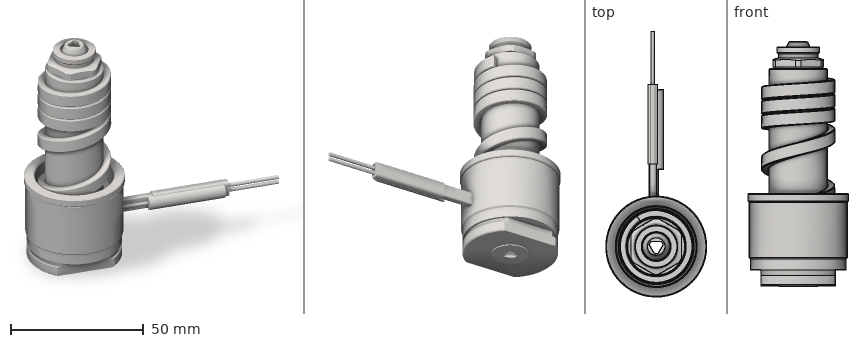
import cadquery as cq
import math

TIP_Z = 92.2
FLANGE_TOP_Z = 90.2
BODY_TOP_Z = 82.0
CUP_TOP_Z = 35.0
CUP_RING_Z = 32.0
BARREL_BOTTOM_Z = 10.4
BASE_TOP_Z = 6.3
BASE_GROOVE_Z = 4.2
BASE_BOTTOM_Z = 0.35

BASE_R = 18.0
BASE_GROOVE_R = 17.1
BASE_CHAMFER = 0.4
BASE_FLAT_HALF_WIDTH = 14.0
BASE_BOSS_R = 7.2

CUP_RING_R = 19.0
BARREL_R = 18.5
CUP_GROOVE_R = 18.3
CUP_GROOVE_WIDTH = 0.4
CUP_BORE_R = 15.0
CUP_BORE_CHAMFER = 0.4
CUP_FLOOR_CHAMFER = 0.7
CUP_EDGE_CHAMFER = 0.3

BODY_R = 11.0
BODY_CHAMFER = 0.3
COLLAR_R = 9.2
HEX_FLATS = 19.0
HEX_CORNER_R = 10.45
HEX_BOTTOM_Z = 82.6
HEX_TOP_Z = 86.0
HEX_CONE_R = 7.7
HEX_CONE_SLOPE = 0.3
NECK_R = 7.45
FLANGE_R = 8.05
FLANGE_CHAMFER = 0.25
FLANGE_BOTTOM_Z = 87.9
NECK_LINE_Z = 87.5
RECESS_R = 5.3
RECESS_CHAMFER = 0.3
RECESS_FLOOR_Z = 88.6
TIP_R = 3.3
TIP_SHOULDER_R = 3.7
TIP_SHOULDER_Z = 91.7
TIP_CONE_SLOPE = 0.47
CHANNEL_INRADIUS = 1.9
CHANNEL_CORNER_R = 2.65

COIL_R = 13.77
COIL_HEIGHT = 4.95
COIL_CHAMFER = 0.3
COIL_ROOT_DEPTH = 1.5
COIL_TOP_Z = 79.8
COIL_TOP_ANGLE = 122.0
TIGHT_PITCH = 5.4
LOOSE_PITCH = 21.5
TIGHT_SWEEP = 1080.0
RAMP_SWEEP = 153.0
LOOSE_SWEEP = 372.0
TAIL_SWEEP = 180.0
COIL_STEP = 45.0
COIL_STRETCHES = [
    (TIGHT_SWEEP, TIGHT_PITCH, TIGHT_PITCH),
    (RAMP_SWEEP, TIGHT_PITCH, LOOSE_PITCH),
    (LOOSE_SWEEP, LOOSE_PITCH, LOOSE_PITCH),
    (RAMP_SWEEP, LOOSE_PITCH, TIGHT_PITCH),
    (TAIL_SWEEP, TIGHT_PITCH, TIGHT_PITCH),
]

CABLE_X = -1.3
CABLE_Z = 17.5
CABLE_CORE_WIDTH = 1.8
CABLE_CORE_HEIGHT = 4.2
SHEATH_WALL = 0.5
SLEEVE_WALL = 0.95
SLEEVE_START_Y = 31.0
SLEEVE_LENGTH = 30.0
WIRE_R = 0.72
WIRE_SPACING = 2.1
WIRE_MID_Z = 17.3
WIRE_END_Y = 81.0
SENSOR_X = 0.05
SENSOR_Z = 17.2
SENSOR_R = 0.8
SENSOR_COVER_R = 2.75
SENSOR_COVER_START_Y = 29.0
CABLE_ROOT_Y = 17.0


def revolve_profile(points):
    """Solid of revolution about Z from (radius, height) points."""
    return cq.Workplane("XZ").polyline(points).close().revolve(360, (0, 0, 0), (0, 1, 0))


def make_base():
    base = revolve_profile([
        (0, 0),
        (BASE_BOSS_R, 0),
        (BASE_BOSS_R, BASE_BOTTOM_Z),
        (BASE_R - BASE_CHAMFER, BASE_BOTTOM_Z),
        (BASE_R, BASE_BOTTOM_Z + BASE_CHAMFER),
        (BASE_R, BASE_GROOVE_Z),
        (BASE_GROOVE_R, BASE_GROOVE_Z),
        (BASE_GROOVE_R, BASE_TOP_Z),
        (0, BASE_TOP_Z),
    ])
    flats = cq.Workplane("XY").box(
        2 * BASE_FLAT_HALF_WIDTH, 2 * BASE_R, BASE_TOP_Z, centered=(True, True, False)
    )
    return base.intersect(flats)


def make_cup():
    groove_bottom_z = CUP_RING_Z - CUP_GROOVE_WIDTH
    return revolve_profile([
        (0, BASE_TOP_Z),
        (BASE_R, BASE_TOP_Z),
        (BASE_R, BARREL_BOTTOM_Z),
        (BARREL_R, BARREL_BOTTOM_Z + BARREL_R - BASE_R),
        (BARREL_R, groove_bottom_z),
        (CUP_GROOVE_R, groove_bottom_z),
        (CUP_GROOVE_R, CUP_RING_Z),
        (CUP_RING_R - CUP_EDGE_CHAMFER, CUP_RING_Z),
        (CUP_RING_R, CUP_RING_Z + CUP_EDGE_CHAMFER),
        (CUP_RING_R, CUP_TOP_Z - CUP_EDGE_CHAMFER),
        (CUP_RING_R - CUP_EDGE_CHAMFER, CUP_TOP_Z),
        (CUP_BORE_R + CUP_BORE_CHAMFER, CUP_TOP_Z),
        (CUP_BORE_R, CUP_TOP_Z - CUP_BORE_CHAMFER),
        (CUP_BORE_R, BARREL_BOTTOM_Z + CUP_FLOOR_CHAMFER),
        (CUP_BORE_R - CUP_FLOOR_CHAMFER, BARREL_BOTTOM_Z),
        (0, BARREL_BOTTOM_Z),
    ])


def make_body():
    return revolve_profile([
        (0, BASE_TOP_Z),
        (BODY_R, BASE_TOP_Z),
        (BODY_R, BODY_TOP_Z - BODY_CHAMFER),
        (BODY_R - BODY_CHAMFER, BODY_TOP_Z),
        (COLLAR_R, BODY_TOP_Z),
        (COLLAR_R, HEX_BOTTOM_Z),
        (0, HEX_BOTTOM_Z),
    ])


def make_hex():
    corner_z = HEX_TOP_Z - HEX_CONE_SLOPE * (HEX_CORNER_R - HEX_CONE_R)
    envelope = revolve_profile([
        (0, HEX_BOTTOM_Z),
        (HEX_CORNER_R, HEX_BOTTOM_Z),
        (HEX_CORNER_R, corner_z),
        (HEX_CONE_R, HEX_TOP_Z),
        (0, HEX_TOP_Z),
    ])
    across_corners = HEX_FLATS / math.cos(math.pi / 6)
    prism = (
        cq.Workplane("XY", origin=(0, 0, HEX_BOTTOM_Z))
        .transformed(rotate=(0, 0, 30))
        .polygon(6, across_corners)
        .extrude(HEX_TOP_Z - HEX_BOTTOM_Z)
    )
    return prism.intersect(envelope)


def make_head():
    cone_foot_r = TIP_SHOULDER_R + TIP_CONE_SLOPE * (TIP_SHOULDER_Z - RECESS_FLOOR_Z)
    return revolve_profile([
        (0, HEX_BOTTOM_Z),
        (NECK_R, HEX_BOTTOM_Z),
        (NECK_R, NECK_LINE_Z),
        (FLANGE_R - FLANGE_CHAMFER, FLANGE_BOTTOM_Z),
        (FLANGE_R, FLANGE_BOTTOM_Z + FLANGE_CHAMFER),
        (FLANGE_R, FLANGE_TOP_Z - FLANGE_CHAMFER),
        (FLANGE_R - FLANGE_CHAMFER, FLANGE_TOP_Z),
        (RECESS_R + RECESS_CHAMFER, FLANGE_TOP_Z),
        (RECESS_R, FLANGE_TOP_Z - RECESS_CHAMFER),
        (RECESS_R, RECESS_FLOOR_Z),
        (cone_foot_r, RECESS_FLOOR_Z),
        (TIP_SHOULDER_R, TIP_SHOULDER_Z),
        (TIP_R, TIP_Z),
        (0, TIP_Z),
    ])


def make_channel():
    """Three-sided melt channel with rounded corners, one flat facing +Y."""
    triangle = cq.Workplane("XY").transformed(rotate=(0, 0, -90)).polygon(3, 4 * CHANNEL_INRADIUS)
    return triangle.extrude(TIP_Z).intersect(
        cq.Workplane("XY").circle(CHANNEL_CORNER_R).extrude(TIP_Z)
    )


def coil_drop(turned):
    """Height lost after turning this many degrees down the coil from its upper end."""
    drop = 0.0
    for sweep, start_pitch, end_pitch in COIL_STRETCHES:
        part_turned = min(turned, sweep)
        part_end_pitch = start_pitch + (end_pitch - start_pitch) * part_turned / sweep
        drop += (start_pitch + part_end_pitch) / 2 * part_turned / 360
        turned -= part_turned
    return drop


def coil_curve(radius):
    """Curve of varying pitch that winds down the nozzle at the given radius."""
    total_sweep = sum(stretch[0] for stretch in COIL_STRETCHES)
    count = round(total_sweep / COIL_STEP)
    points = []
    for i in range(count + 1):
        turned = total_sweep * i / count
        angle = math.radians(COIL_TOP_ANGLE - turned)
        height = COIL_TOP_Z - coil_drop(turned)
        points.append((radius * math.cos(angle), radius * math.sin(angle), height))
    return cq.Workplane("XY").spline(points)


def make_coil():
    """Flat heater strip with bevelled edges, its root sunk into the nozzle body."""
    strip_depth = COIL_R - BODY_R
    root_depth = strip_depth + COIL_ROOT_DEPTH
    root_chamfer = COIL_CHAMFER + COIL_ROOT_DEPTH
    angle = math.radians(COIL_TOP_ANGLE)
    section_plane = cq.Plane(
        origin=(COIL_R * math.cos(angle), COIL_R * math.sin(angle), COIL_TOP_Z),
        xDir=(math.cos(angle), math.sin(angle), 0),
        normal=(math.sin(angle), -math.cos(angle), 0),
    )
    section = cq.Workplane(section_plane).polyline([
        (-root_depth, -root_chamfer),
        (COIL_CHAMFER - strip_depth, 0),
        (-COIL_CHAMFER, 0),
        (0, -COIL_CHAMFER),
        (0, COIL_CHAMFER - COIL_HEIGHT),
        (-COIL_CHAMFER, -COIL_HEIGHT),
        (COIL_CHAMFER - strip_depth, -COIL_HEIGHT),
        (-root_depth, root_chamfer - COIL_HEIGHT),
    ]).close()
    return section.sweep(coil_curve(COIL_R), auxSpine=coil_curve(BODY_R))


def plane_facing_y(x, y, z):
    """Sketch plane at the given point that extrudes toward +Y, with local Y along +Z."""
    return cq.Workplane(cq.Plane(origin=(x, y, z), xDir=(-1, 0, 0), normal=(0, 1, 0)))


def rounded_bar(start_y, end_y, wall):
    """Cable cover of even wall thickness around the flat cable core."""
    return (
        plane_facing_y(CABLE_X, start_y, CABLE_Z)
        .rect(CABLE_CORE_WIDTH + 2 * wall, CABLE_CORE_HEIGHT + 2 * wall)
        .extrude(end_y - start_y)
        .edges("|Y")
        .fillet(wall)
    )


def half_round_bar(start_y, end_y, radius):
    """Bar with its flat on the sensor plane and its round side facing +X."""
    return (
        plane_facing_y(SENSOR_X, start_y, SENSOR_Z)
        .moveTo(0, -radius)
        .threePointArc((-radius, 0), (0, radius))
        .close()
        .extrude(end_y - start_y)
    )


def make_cable():
    sleeve_end_y = SLEEVE_START_Y + SLEEVE_LENGTH
    cover_end_y = SENSOR_COVER_START_Y + SLEEVE_LENGTH
    cable = rounded_bar(CABLE_ROOT_Y, sleeve_end_y, SHEATH_WALL)
    cable = cable.union(rounded_bar(SLEEVE_START_Y, sleeve_end_y, SLEEVE_WALL))
    cable = cable.union(half_round_bar(CABLE_ROOT_Y, cover_end_y, SENSOR_R))
    cable = cable.union(half_round_bar(SENSOR_COVER_START_Y, cover_end_y, SENSOR_COVER_R))
    for side in (-1, 1):
        wire = (
            plane_facing_y(CABLE_X, SLEEVE_START_Y, WIRE_MID_Z + side * WIRE_SPACING / 2)
            .circle(WIRE_R)
            .extrude(WIRE_END_Y - SLEEVE_START_Y)
        )
        cable = cable.union(wire)
    return cable


turned_parts = make_base().union(make_cup()).union(make_body()).union(make_hex()).union(make_head())
nozzle = turned_parts.union(make_cable()).cut(make_channel())
result = nozzle.union(make_coil(), clean=False)